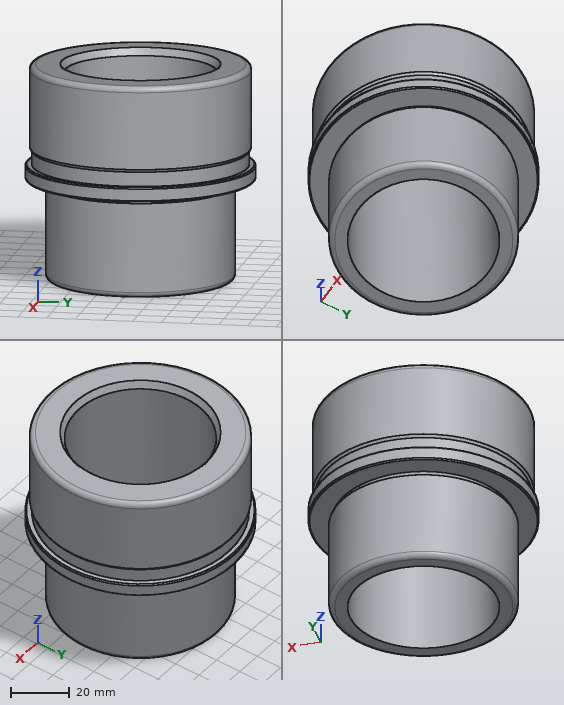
import cadquery as cq

total_height = 75.0
flange_bottom = 35.0
flange_top = 40.05
head_bottom = 45.0
shank_top = 33.0

flange_radius = 39.5
head_radius = 38.0
neck_radius = 37.3
shank_radius = 32.5
shoulder_radius = 31.5
bore_radius = 26.0

end_fillet = 2.0
flange_chamfer = 0.5
head_chamfer_height = 1.0
bore_chamfer_width = 1.5
bore_chamfer_depth = 2.6


def turned_body():
    """Stepped outer body: the shank tapers in to meet the flange, and both ends are rounded."""
    profile = (
        cq.Workplane("XZ")
        .lineTo(shank_radius, 0)
        .lineTo(shank_radius, shank_top)
        .lineTo(shoulder_radius, flange_bottom)
        .lineTo(flange_radius - flange_chamfer, flange_bottom)
        .lineTo(flange_radius, flange_bottom + flange_chamfer)
        .lineTo(flange_radius, flange_top - flange_chamfer)
        .lineTo(flange_radius - flange_chamfer, flange_top)
        .lineTo(neck_radius, flange_top)
        .lineTo(neck_radius, head_bottom)
        .lineTo(head_radius, head_bottom + head_chamfer_height)
        .lineTo(head_radius, total_height)
        .lineTo(0, total_height)
        .close()
    )
    body = profile.revolve(360, (0, 0), (0, 1))
    return body.faces("<Z or >Z").edges().fillet(end_fillet)


def bore_cutter():
    """Through bore with a tapered lead-in at the upper end."""
    mouth_radius = bore_radius + bore_chamfer_width
    profile = (
        cq.Workplane("XZ")
        .lineTo(bore_radius, 0)
        .lineTo(bore_radius, total_height - bore_chamfer_depth)
        .lineTo(mouth_radius, total_height)
        .lineTo(0, total_height)
        .close()
    )
    return profile.revolve(360, (0, 0), (0, 1))


result = turned_body().cut(bore_cutter())